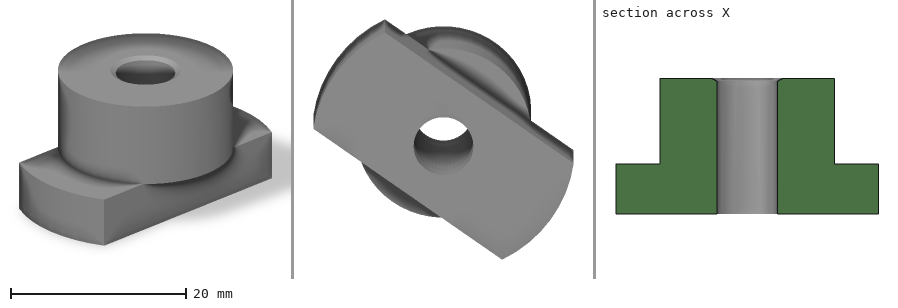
import cadquery as cq
import math

flange_diameter = 30.0
flange_width = 14.0
flange_height = 5.8
boss_diameter = 20.0
total_height = 15.5
hole_diameter = 6.8
countersink_diameter = 8.0
countersink_angle = 120.0

countersink_width = (countersink_diameter - hole_diameter) / 2
countersink_depth = countersink_width / math.tan(math.radians(countersink_angle / 2))


def make_flange():
    """Disc cut down to two parallel flats, leaving round ends."""
    disc = cq.Workplane("XY").circle(flange_diameter / 2).extrude(flange_height)
    bar = cq.Workplane("XY").rect(flange_width, flange_diameter).extrude(flange_height)
    return disc.intersect(bar)


def make_boss():
    """Round boss standing on top of the flange, wider than its flats."""
    boss_height = total_height - flange_height
    return (
        cq.Workplane("XY")
        .workplane(offset=flange_height)
        .circle(boss_diameter / 2)
        .extrude(boss_height)
    )


def make_hole():
    """Through hole with a countersunk upper mouth, as a solid to cut away."""
    return (
        cq.Workplane("XZ")
        .lineTo(hole_diameter / 2, 0)
        .lineTo(hole_diameter / 2, total_height - countersink_depth)
        .lineTo(countersink_diameter / 2, total_height)
        .lineTo(0, total_height)
        .close()
        .revolve(360, (0, 0), (0, 1))
    )


result = make_flange().union(make_boss()).cut(make_hole())